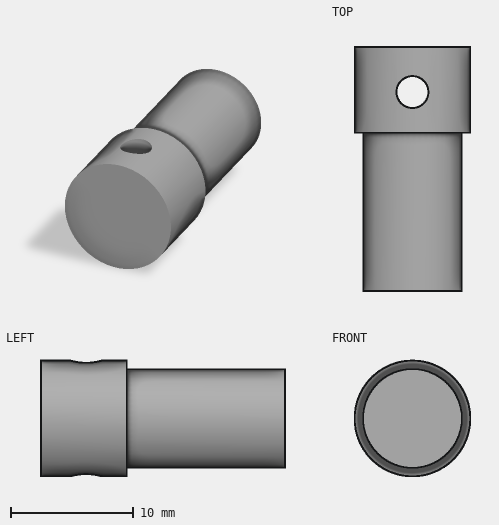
import cadquery as cq

total_length = 20.0
head_diameter = 9.5
head_length = 7.05
shank_diameter = 8.1
hole_diameter = 2.6
hole_from_head_end = 3.7

head_end_y = total_length / 2
shank_length = total_length - head_length


def cylinder_toward_front(diameter, length, start_y):
    """Cylinder running from start_y in the -Y direction."""
    plane = cq.Workplane("XZ", origin=(0, start_y, 0))
    return plane.circle(diameter / 2).extrude(length)


head = cylinder_toward_front(head_diameter, head_length, head_end_y)
shank = cylinder_toward_front(shank_diameter, shank_length, head_end_y - head_length)

cross_hole = (
    cq.Workplane("XY", origin=(0, head_end_y - hole_from_head_end, 0))
    .circle(hole_diameter / 2)
    .extrude(head_diameter, both=True)
)

result = head.union(shank).cut(cross_hole)